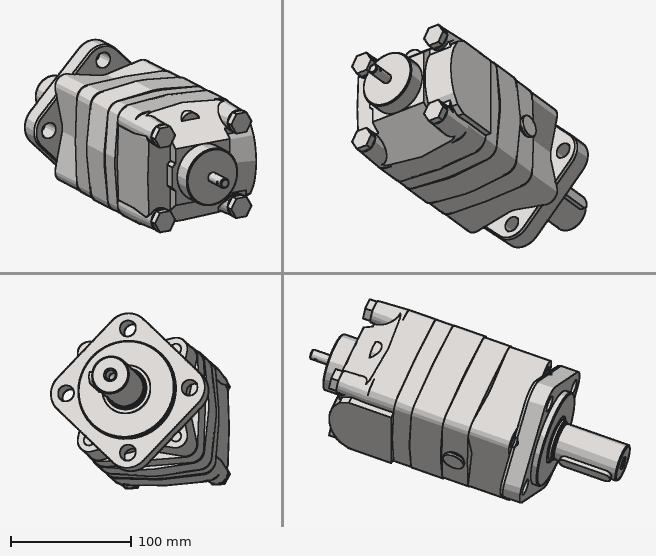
import cadquery as cq
import math

total_length = 280.5
pilot_front = 60.3
flange_front = 66.2
flange_rear = 84.0
posts_rear = 120.0
housing_rear = 143.0
ring_rear = 171.0
plate_rear = 186.8
slope_start = 211.2
cover_side_rear = 236.2
tubes_rear = 239.0
neck_rear = 244.5
cap_rear = 260.3

bolt_offset = 37.0
bolt_diameter = 9.0
bolt_head_flats = 17.0
bolt_head_height = 6.5
drill_tip_angle = 120.0
bolt_places = [(sy * bolt_offset, sz * bolt_offset) for sy in (-1, 1) for sz in (-1, 1)]

corner_radius = 11.0
corner_reach = 47.0
crown_half_width = 4.5
housing_peak = 48.8
ring_peak = 51.5
plate_peak = 50.5

flange_span = 131.3
flange_edge_distance = 52.0
flange_hole_radius = 52.7
flange_hole_diameter = 13.5
flange_rear_bevel_length = 2.5
flange_rear_bevel_depth = 0.8
pilot_diameter = 82.5
seal_recess_diameter = 41.0
seal_recess_depth = 1.5
edge_bevel = 0.8
notch_depth = 2.2

post_radius = 9.8
waist_half_width = 2.8
waist_reach = 39.8

drain_boss_diameter = 18.5
drain_boss_x = 131.3
drain_boss_reach = 52.7
drain_boss_thickness = 2.5
drain_neck_diameter = 16.0

shaft_diameter = 31.7
collar_diameter = 34.8
collar_front = 57.0
neck_groove_front = 55.8
neck_groove_diameter = 30.5
centre_hole_diameter = 8.5
centre_hole_depth = 14.0
centre_sink_diameter = 11.0
key_front = 4.0
key_length = 46.0
key_width = 10.0
key_bottom = 11.0
key_top = 19.0

cover_z_peak = 51.5
cover_y_peak = 48.2
cover_z_reach = 48.2
cover_y_reach = 46.5
cover_corner_radius = 10.5
cover_rear_corner_radius = 16.8
tube_rear_radius = 9.5
cap_diameter = 49.5
neck_half_width = 26.5
neck_rib_half_width = 12.0
neck_rib_crest_half_width = 9.0
neck_rib_rise = 3.0
port_face_reach = 53.0
port_face_half_height = 36.0
port_face_rear = 243.0
port_corner_start = 225.0
port_corner_middle = (233.5, 30.9)
port_corner_end = (238.7, 22.0)
top_boss_diameter = 18.5
top_boss_rear = 225.0
tach_diameter = 8.5
tach_hole_diameter = 2.0
tach_hole_x = 275.2


def cylinder(x_start, x_end, diameter, y=0.0, z=0.0):
    """Cylinder along X."""
    plane = cq.Workplane("YZ", origin=(x_start, y, z))
    return plane.circle(diameter / 2).extrude(x_end - x_start)


def cone(x_start, x_end, start_radius, end_radius, y=0.0, z=0.0):
    """Cone along X, either round."""
    height = x_end - x_start
    base = cq.Vector(x_start, y, z)
    return cq.Workplane(cq.Solid.makeCone(start_radius, end_radius, height, base, cq.Vector(1, 0, 0)))


def drill_tip_length(radius):
    """Length of the pointed end of a drilled hole."""
    return radius / math.tan(math.radians(drill_tip_angle / 2))


def crowned_block(x_start, x_end, peaks, crown, reach=(corner_reach, corner_reach), radius=corner_radius):
    """Four-sided block with rounded corners whose sides rise slightly to a crown.

    Peaks and reach are (Y, Z) pairs: how far out the crowns and the unrounded corners lie.
    A crown half-width of zero makes each crown a sharp ridge.
    """
    y_peak, z_peak = peaks
    y_reach, z_reach = reach
    if crown > 0:
        outline = [
            (y_reach, z_reach), (crown, z_peak), (-crown, z_peak),
            (-y_reach, z_reach), (-y_peak, crown), (-y_peak, -crown),
            (-y_reach, -z_reach), (-crown, -z_peak), (crown, -z_peak),
            (y_reach, -z_reach), (y_peak, -crown), (y_peak, crown),
        ]
    else:
        outline = [
            (y_reach, z_reach), (0, z_peak), (-y_reach, z_reach), (-y_peak, 0),
            (-y_reach, -z_reach), (0, -z_peak), (y_reach, -z_reach), (y_peak, 0),
        ]
    plane = cq.Workplane("YZ", origin=(x_start, 0, 0))
    block = plane.polyline(outline).close().extrude(x_end - x_start)
    corner_box = 2 * radius
    for sy in (-1, 1):
        for sz in (-1, 1):
            corner = ((x_start + x_end) / 2, sy * y_reach, sz * z_reach)
            near_corner = cq.selectors.BoxSelector(
                tuple(place - corner_box for place in corner),
                tuple(place + corner_box for place in corner),
            )
            block = block.edges("|X").edges(near_corner).fillet(radius)
    return block


def cut_bolt_holes(body, x_start, x_end):
    for y, z in bolt_places:
        body = body.cut(cylinder(x_start, x_end, bolt_diameter, y, z))
    return body


def make_flange():
    """Diamond flange with round tips, four mounting holes and a bevelled rear edge."""
    tip_reach = flange_span / 2
    tip_centre = (tip_reach - flange_edge_distance) / (1 - math.sqrt(0.5))
    tip_radius = tip_reach - tip_centre
    side = math.sqrt(2) * tip_centre + 2 * tip_radius
    thickness = flange_rear - flange_front
    flange = cq.Workplane("YZ", origin=(flange_front, 0, 0)).rect(side, side).extrude(thickness)
    flange = flange.edges("|X").fillet(tip_radius)
    flange = flange.faces(">X").chamfer(flange_rear_bevel_length, flange_rear_bevel_depth)
    flange = flange.rotate((0, 0, 0), (1, 0, 0), 45)
    holes = (
        cq.Workplane("YZ", origin=(flange_front, 0, 0))
        .polarArray(flange_hole_radius, 0, 360, 4)
        .circle(flange_hole_diameter / 2)
        .extrude(thickness)
    )
    return flange.cut(holes)


def make_waist():
    """Four round corner posts joined by V-shaped walls."""
    lean = math.atan((bolt_offset + post_radius - waist_reach) / (bolt_offset - waist_half_width))
    near = bolt_offset - post_radius * math.sin(lean)
    far = bolt_offset + post_radius * math.cos(lean)
    quarter = [
        (bolt_offset, bolt_offset), (near, far),
        (waist_half_width, waist_reach), (-waist_half_width, waist_reach), (-near, far),
    ]
    outline = []
    for turn in range(4):
        cos_turn = round(math.cos(turn * math.pi / 2))
        sin_turn = round(math.sin(turn * math.pi / 2))
        outline += [(y * cos_turn - z * sin_turn, y * sin_turn + z * cos_turn) for y, z in quarter]
    length = posts_rear - flange_rear
    waist = cq.Workplane("YZ", origin=(flange_rear, 0, 0)).polyline(outline).close().extrude(length)
    for y, z in bolt_places:
        waist = waist.union(cylinder(flange_rear, posts_rear, 2 * post_radius, y, z))
    return waist


def make_drain_boss():
    """Round boss along Y with a slightly narrower neck under it."""
    plane = cq.Workplane("XZ", origin=(drain_boss_x, drain_boss_reach, 0))
    neck = plane.circle(drain_neck_diameter / 2).extrude(drain_boss_reach - bolt_offset)
    head = plane.circle(drain_boss_diameter / 2).extrude(drain_boss_thickness)
    return neck.union(head)


def make_housing():
    pilot = cylinder(pilot_front, flange_front, pilot_diameter).faces("<X").chamfer(edge_bevel)
    rear_block = crowned_block(posts_rear, housing_rear, (housing_peak, housing_peak), 0)
    housing = make_flange().union(pilot).union(make_waist()).union(rear_block).union(make_drain_boss())
    housing = housing.cut(cylinder(pilot_front, flange_rear, shaft_diameter))
    housing = housing.cut(cylinder(pilot_front, pilot_front + seal_recess_depth, seal_recess_diameter))
    housing = cut_bolt_holes(housing, flange_rear, housing_rear)
    drill_radius = bolt_diameter / 2
    tip_rear = flange_rear - notch_depth
    tip_front = tip_rear - drill_tip_length(drill_radius)
    for y, z in bolt_places:
        housing = housing.cut(cone(tip_front, tip_rear, 0, drill_radius, y, z))
        housing = housing.cut(cylinder(tip_rear, flange_rear, bolt_diameter, y, z))
    return housing


def make_key():
    """Parallel key with round ends, set into the +Y side of the shaft."""
    middle = key_front + key_length / 2
    plane = cq.Workplane("XZ", origin=(middle, key_top, 0))
    return plane.slot2D(key_length, key_width).extrude(key_top - key_bottom)


def make_shaft(key):
    bar = cylinder(0, flange_rear, shaft_diameter).faces("<X").chamfer(edge_bevel)
    groove = cylinder(neck_groove_front, collar_front, shaft_diameter)
    groove = groove.cut(cylinder(neck_groove_front, collar_front, neck_groove_diameter))
    collar = cylinder(collar_front, pilot_front, collar_diameter).faces("<X").chamfer(edge_bevel)
    sink_depth = (centre_sink_diameter - centre_hole_diameter) / 2
    shaft = bar.cut(groove).union(collar)
    shaft = shaft.cut(cone(0, sink_depth, centre_sink_diameter / 2, centre_hole_diameter / 2))
    shaft = shaft.cut(cylinder(0, centre_hole_depth, centre_hole_diameter))
    hole_radius = centre_hole_diameter / 2
    tip_end = centre_hole_depth + drill_tip_length(hole_radius)
    shaft = shaft.cut(cone(centre_hole_depth, tip_end, hole_radius, 0))
    return shaft.cut(key)


def make_ring():
    ring = crowned_block(housing_rear, ring_rear, (ring_peak, ring_peak), crown_half_width)
    return cut_bolt_holes(ring, housing_rear, ring_rear)


def make_plate():
    plate = crowned_block(ring_rear, plate_rear, (plate_peak, plate_peak), crown_half_width)
    return cut_bolt_holes(plate, ring_rear, plate_rear)


def make_cover_body():
    """Crowned block whose top and bottom slope down to the cap, with a short neck behind it."""
    cap_radius = cap_diameter / 2
    wedge = (
        cq.Workplane("XZ", origin=(0, port_face_reach, 0))
        .polyline([
            (plate_rear, cover_z_peak), (slope_start, cover_z_peak), (neck_rear, cap_radius),
            (neck_rear, -cap_radius), (slope_start, -cover_z_peak), (plate_rear, -cover_z_peak),
        ])
        .close()
        .extrude(2 * port_face_reach)
    )
    peaks = (cover_y_peak, cover_z_peak)
    reach = (cover_y_reach, cover_z_reach)
    front = crowned_block(plate_rear, slope_start, peaks, 0, reach, cover_corner_radius)
    rear = crowned_block(slope_start, cover_side_rear, peaks, 0, reach, cover_rear_corner_radius)
    neck = cq.Workplane("XY").box(
        neck_rear - cover_side_rear, 2 * neck_half_width, 2 * cover_z_peak
    ).translate(((cover_side_rear + neck_rear) / 2, 0, 0))
    rib_base = -neck_half_width
    rib_crest = rib_base - neck_rib_rise
    rib = (
        cq.Workplane("YZ", origin=(cover_side_rear, 0, 0))
        .polyline([
            (rib_base, -neck_rib_half_width), (rib_crest, -neck_rib_crest_half_width),
            (rib_crest, neck_rib_crest_half_width), (rib_base, neck_rib_half_width),
        ])
        .close()
        .extrude(neck_rear - cover_side_rear)
    )
    return front.union(rear).union(neck).union(rib).intersect(wedge)


def make_port_face():
    """Flat port pad on the +Y side with bevelled rear corners and a bowed rear edge."""
    middle_x, middle_z = port_corner_middle
    end_x, end_z = port_corner_end
    return (
        cq.Workplane("XZ", origin=(0, port_face_reach, 0))
        .moveTo(plate_rear, port_face_half_height)
        .lineTo(port_corner_start, port_face_half_height)
        .lineTo(middle_x, middle_z)
        .lineTo(end_x, end_z)
        .threePointArc((port_face_rear, 0), (end_x, -end_z))
        .lineTo(middle_x, -middle_z)
        .lineTo(port_corner_start, -port_face_half_height)
        .lineTo(plate_rear, -port_face_half_height)
        .close()
        .extrude(port_face_reach - neck_half_width)
    )


def make_bolt_tube(y, z):
    """Round bolt tube, straight along the cover block and tapered behind it."""
    profile = [
        (plate_rear, 0), (plate_rear, corner_radius), (slope_start, corner_radius),
        (tubes_rear, tube_rear_radius), (tubes_rear, 0),
    ]
    tube = cq.Workplane("XY").polyline(profile).close().revolve(360, (0, 0, 0), (1, 0, 0))
    seam_turn = math.degrees(math.atan2(-z, -y))
    return tube.rotate((0, 0, 0), (1, 0, 0), seam_turn).translate((0, y, z))


def make_cover():
    cover = make_cover_body().union(make_port_face())
    for y, z in bolt_places:
        cover = cover.union(make_bolt_tube(y, z))
    cover = cover.union(cylinder(slope_start, top_boss_rear, top_boss_diameter, 0, bolt_offset))
    cap = cylinder(neck_rear, cap_rear, cap_diameter).faces(">X").chamfer(edge_bevel)
    cover = cover.union(cap)
    tach_end = cylinder(cap_rear, total_length, tach_diameter).faces(">X").chamfer(edge_bevel)
    tach_hole = (
        cq.Workplane("XZ", origin=(tach_hole_x, tach_diameter, 0))
        .circle(tach_hole_diameter / 2)
        .extrude(2 * tach_diameter)
    )
    cover = cover.union(tach_end).cut(tach_hole)
    return cut_bolt_holes(cover, plate_rear, tubes_rear)


def make_bolt(y, z):
    """Hex bolt with its head on the cover, flats facing up and down."""
    corner_diameter = bolt_head_flats / math.cos(math.pi / 6)
    shank = cylinder(flange_rear, tubes_rear, bolt_diameter, y, z)
    head_plane = cq.Workplane("YZ", origin=(tubes_rear, y, z))
    head = head_plane.polygon(6, corner_diameter).extrude(bolt_head_height)
    return shank.union(head)


housing = make_housing()
key = make_key()
shaft = make_shaft(key)
ring = make_ring()
plate = make_plate()
cover = make_cover()
bolts = [make_bolt(y, z) for y, z in bolt_places]

result = cq.Compound.makeCompound([
    housing.solids().val(),
    shaft.solids().val(),
    key.solids().val(),
    ring.solids().val(),
    plate.solids().val(),
    cover.solids().val(),
    *[bolt.solids().val() for bolt in bolts],
])